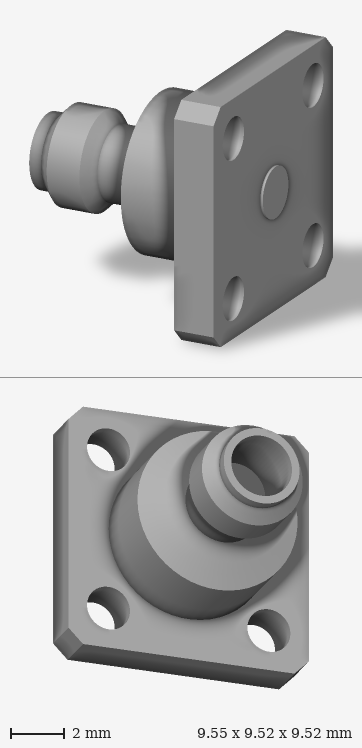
import cadquery as cq

total_length = 9.55
contact_height = 0.105
flange_thickness = 1.65
flange_back = total_length - contact_height
flange_front = flange_back - flange_thickness

flange_side = 9.52
corner_chamfer = 0.57
hole_spacing = 6.35
hole_diameter = 1.7

nose_radius = 1.5
collar_radius = 2.0
body_radius = 3.17
collar_start = 0.5
collar_end = 2.865
collar_bevel = collar_radius - nose_radius
shoulder_start = 4.1
shoulder_end = 4.72

bore_radius = 1.2
bore_depth = 2.865
contact_radius = 1.02


def disc(start, length, radius):
    """Cylinder on the X axis."""
    return cq.Workplane("YZ", origin=(start, 0, 0)).circle(radius).extrude(length)


def make_body():
    """Nose, bevelled collar, neck and conical shoulder, turned about X."""
    profile = [
        (0, 0),
        (0, nose_radius),
        (collar_start, nose_radius),
        (collar_start + collar_bevel, collar_radius),
        (collar_end - collar_bevel, collar_radius),
        (collar_end, nose_radius),
        (shoulder_start, nose_radius),
        (shoulder_end, body_radius),
        (flange_front, body_radius),
        (flange_front, 0),
    ]
    return cq.Workplane("XY").polyline(profile).close().revolve(360, (0, 0, 0), (1, 0, 0))


def make_flange():
    """Square plate with chamfered corners and four mounting holes."""
    plate = (
        cq.Workplane("YZ", origin=(flange_front, 0, 0))
        .rect(flange_side, flange_side)
        .extrude(flange_thickness)
        .edges("|X")
        .chamfer(corner_chamfer)
    )
    return (
        plate.faces("<X")
        .workplane(centerOption="CenterOfBoundBox")
        .rect(hole_spacing, hole_spacing, forConstruction=True)
        .vertices()
        .hole(hole_diameter)
    )


contact = disc(flange_back, contact_height, contact_radius)
bore = disc(0, bore_depth, bore_radius)
result = make_body().union(make_flange()).union(contact).cut(bore)